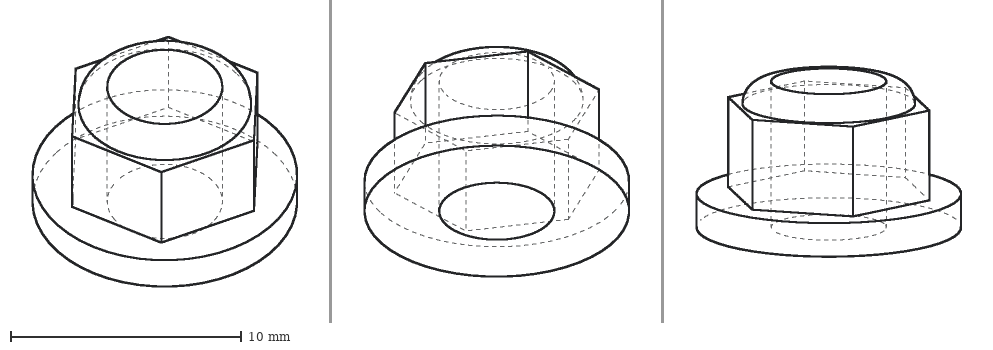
import cadquery as cq
import math

flange_diameter = 11.5
flange_height = 1.5
hex_across_flats = 7.9
hex_height = 4.0
hex_angle = 12.9
collar_diameter = 7.5
collar_height = 1.0
collar_round = collar_height
bore_diameter = 5.0

hex_sides = 6
hex_across_corners = hex_across_flats / math.cos(math.pi / hex_sides)
hex_top = flange_height + hex_height
total_height = hex_top + collar_height


def make_flange():
    """Round washer face at the base of the nut."""
    return cq.Workplane("XY").circle(flange_diameter / 2).extrude(flange_height)


def make_hexagon():
    """Hexagonal wrench body standing on the flange."""
    body = cq.Workplane("XY").polygon(hex_sides, hex_across_corners).extrude(hex_top)
    return body.rotate((0, 0, 0), (0, 0, 1), hex_angle)


def make_collar():
    """Locking collar with a quarter-round outer edge, revolved about Z."""
    outer_radius = collar_diameter / 2
    flat_radius = outer_radius - collar_round
    arc_offset = collar_round * math.sqrt(0.5)
    profile = (
        cq.Workplane("XZ")
        .moveTo(0, hex_top)
        .lineTo(outer_radius, hex_top)
        .threePointArc(
            (flat_radius + arc_offset, hex_top + arc_offset),
            (flat_radius, total_height),
        )
        .lineTo(0, total_height)
        .close()
    )
    return profile.revolve(360, (0, 0, 0), (0, 1, 0))


def make_bore():
    """Plain through hole along the axis."""
    return cq.Workplane("XY").circle(bore_diameter / 2).extrude(total_height)


result = make_flange().union(make_hexagon()).union(make_collar()).cut(make_bore())